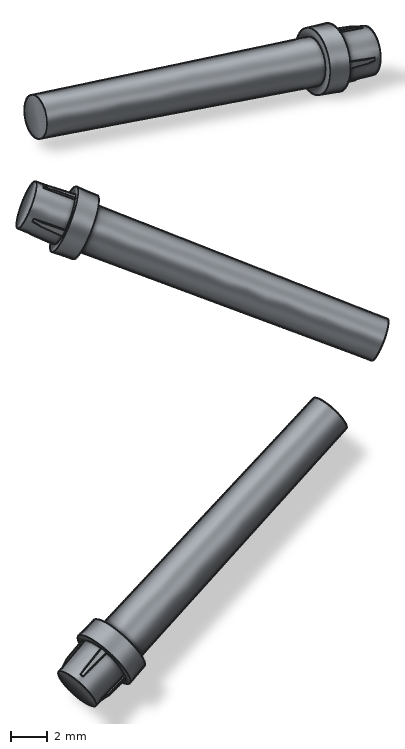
import cadquery as cq

overall_length = 21.34
plug_length = 2.27
collar_length = 1.28
shaft_end_y = plug_length - overall_length

collar_large_radius = 1.945
collar_small_radius = 1.90
plug_root_radius = 1.49
plug_tip_radius = 1.40
shaft_root_radius = 1.40
shaft_tip_radius = 1.245

rib_count = 4
rib_tip_gap = 0.39
rib_ramp_length = 0.54
rib_root_radius = 1.605
rib_crest_radius = 1.56
rib_tip_radius = 1.42
rib_root_width = 0.40
rib_tip_width = 0.20
rib_inner_radius = 1.0
rib_start_y = plug_length - rib_tip_gap
rib_crest_y = rib_start_y - rib_ramp_length


def make_body():
    """Plug, collar and shaft, revolved about the Y axis."""
    return (
        cq.Workplane("YZ")
        .moveTo(shaft_end_y, 0)
        .lineTo(shaft_end_y, shaft_tip_radius)
        .lineTo(-collar_length, shaft_root_radius)
        .lineTo(-collar_length, collar_small_radius)
        .lineTo(0, collar_large_radius)
        .lineTo(0, plug_root_radius)
        .lineTo(plug_length, plug_tip_radius)
        .lineTo(plug_length, 0)
        .close()
        .revolve(360, (0, 0, 0), (1, 0, 0))
    )


def make_rib():
    """Rib on the +Z side: ramped lead-in, narrowing towards the plug tip."""
    side_profile = (
        cq.Workplane("YZ")
        .moveTo(0, rib_inner_radius)
        .lineTo(0, rib_root_radius)
        .lineTo(rib_crest_y, rib_crest_radius)
        .lineTo(rib_start_y, rib_tip_radius)
        .lineTo(rib_start_y, rib_inner_radius)
        .close()
        .extrude(rib_root_width / 2, both=True)
    )
    plan_outline = (
        cq.Workplane("XY")
        .moveTo(-rib_root_width / 2, 0)
        .lineTo(rib_root_width / 2, 0)
        .lineTo(rib_tip_width / 2, rib_start_y)
        .lineTo(-rib_tip_width / 2, rib_start_y)
        .close()
        .extrude(collar_large_radius)
    )
    return side_profile.intersect(plan_outline)


result = make_body()
rib = make_rib()
for index in range(rib_count):
    angle = index * 360 / rib_count
    result = result.union(rib.rotate((0, 0, 0), (0, 1, 0), angle))